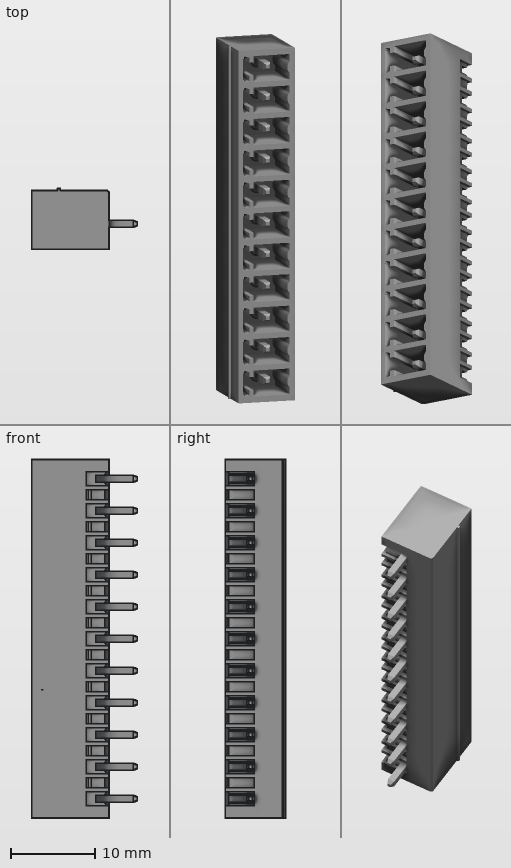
import cadquery as cq
import math

body_length = 9.23
body_depth = 7.0
body_height = 42.7
rear_chamfer = 0.2

pole_count = 11
pole_span = 38.1
pole_pitch = pole_span / (pole_count - 1)
pole_y = 3.05

ridge_x = 3.25
ridge_height = 0.25
ridge_base = 0.4
ridge_crest = 0.3

socket_floor_x = 5.55
socket_y_min = 0.75
socket_y_max = 6.25
socket_half_height = 1.45
lobe_drop = 0.15
key_y_min = 5.1
key_y_max = 5.7
key_half_gap = 0.8
bulge_half_height = 0.75
bulge_rise = 0.3
socket_draft = 1.3
lead_length = 0.45
lead_width = 0.1

collar_diameter = 1.8
collar_tip_diameter = 1.3
collar_height = 0.43

pin_width = 0.85
pin_start_x = 1.05
pin_end_x = 12.6
pin_tip_length = 0.5
pin_tip_width = 0.43

opening_x = 6.5
opening_floor = 0.43
recess_depth = pole_y + pin_width / 2
pin_opening_height = 1.7
pin_slot_x = 7.65
pin_recess_x = 8.85
slot_mouth_chamfer = 0.15
window_height = 1.2
window_recess_x = 8.7
window_shelf = 0.05
window_slope_start_x = 6.75
window_slope_end_x = 7.15

pole_levels = [i * pole_pitch - pole_span / 2 for i in range(pole_count)]
window_levels = [z + pole_pitch / 2 for z in pole_levels[:-1]]


def prism(points, height):
    """Extrude an XY outline to the given height, centred on Z = 0."""
    return cq.Workplane("XY").polyline(points).close().extrude(height / 2, both=True)


def copy_to_levels(shape, levels):
    """Copies of a shape made at Z = 0, one per level."""
    return cq.Workplane("XY").pushPoints([(0, 0, z) for z in levels]).eachpoint(shape.val())


def make_housing():
    block = cq.Workplane("XY").box(body_length, body_depth, body_height, centered=(False, False, True))
    block = block.edges("|Z and >X and >Y").chamfer(rear_chamfer)
    crest_y = body_depth + ridge_height
    ridge = prism(
        [
            (ridge_x - ridge_base / 2, body_depth),
            (ridge_x - ridge_crest / 2, crest_y),
            (ridge_x + ridge_crest / 2, crest_y),
            (ridge_x + ridge_base / 2, body_depth),
        ],
        body_height,
    )
    return block.union(ridge)


def make_key_rib():
    """Key rib on the upper socket wall, narrowed on its -Y side at the mouth."""
    outline = [
        (0, key_y_min + lead_width),
        (lead_length, key_y_min),
        (socket_floor_x, key_y_min),
        (socket_floor_x, key_y_max),
        (0, key_y_max),
    ]
    rib_height = pole_pitch / 2 - key_half_gap
    return prism(outline, rib_height).translate((0, 0, key_half_gap + rib_height / 2))


def make_socket():
    """Drafted socket with a bulged -Y wall; two key ribs and the pin collar are left standing."""
    socket_widening = socket_floor_x * math.tan(math.radians(socket_draft))
    lobe_half = socket_half_height - lobe_drop
    cavity = (
        cq.Workplane("YZ", origin=(socket_floor_x, 0, 0))
        .moveTo(socket_y_min, -socket_half_height)
        .lineTo(key_y_min, -socket_half_height)
        .lineTo(key_y_max, -lobe_half)
        .lineTo(socket_y_max, -socket_half_height)
        .lineTo(socket_y_max, socket_half_height)
        .lineTo(key_y_max, lobe_half)
        .lineTo(key_y_min, socket_half_height)
        .lineTo(socket_y_min, socket_half_height)
        .lineTo(socket_y_min, bulge_half_height)
        .threePointArc((socket_y_min + bulge_rise, 0), (socket_y_min, -bulge_half_height))
        .close()
        .extrude(-socket_floor_x, taper=-socket_draft)
    )
    collar = (
        cq.Workplane("YZ", origin=(socket_floor_x, pole_y, 0))
        .circle(collar_diameter / 2)
        .workplane(offset=-collar_height)
        .circle(collar_tip_diameter / 2)
        .loft()
    )
    upper_rib = make_key_rib()
    lobe_lead_in = prism(
        [
            (0, key_y_max),
            (0, socket_y_max + socket_widening + lead_width),
            (lead_length, socket_y_max + socket_widening),
            (lead_length, key_y_max),
        ],
        2 * lobe_half,
    )
    return cavity.union(lobe_lead_in).cut(upper_rib).cut(upper_rib.mirror("XY")).cut(collar)


def make_pin_opening():
    """Opening beside a pin: shallow floor, deep recess and a slot for the pin."""
    opening = prism(
        [
            (opening_x, 0),
            (opening_x, opening_floor),
            (pin_recess_x, opening_floor),
            (pin_recess_x, recess_depth),
            (body_length, recess_depth),
            (body_length, 0),
        ],
        pin_opening_height,
    )
    slot_half = pin_width / 2
    mouth_half = slot_half + slot_mouth_chamfer
    slot = (
        cq.Workplane("XZ")
        .moveTo(pin_slot_x, -slot_half)
        .lineTo(pin_recess_x - slot_mouth_chamfer, -slot_half)
        .lineTo(pin_recess_x, -mouth_half)
        .lineTo(pin_recess_x, mouth_half)
        .lineTo(pin_recess_x - slot_mouth_chamfer, slot_half)
        .lineTo(pin_slot_x, slot_half)
        .close()
        .extrude(-recess_depth)
    )
    return opening.union(slot)


def make_window():
    """Opening between two pins: shelf, slope, shallow floor and deep recess."""
    return prism(
        [
            (opening_x, 0),
            (opening_x, window_shelf),
            (window_slope_start_x, window_shelf),
            (window_slope_end_x, opening_floor),
            (window_recess_x, opening_floor),
            (window_recess_x, recess_depth),
            (body_length, recess_depth),
            (body_length, 0),
        ],
        window_height,
    )


def make_pin():
    """Square pin along X, tapered at both ends."""
    shank_start = pin_start_x + pin_tip_length
    shank_end = pin_end_x - pin_tip_length
    shank = cq.Workplane("YZ", origin=(shank_start, pole_y, 0)).rect(pin_width, pin_width)
    pin = shank.extrude(shank_end - shank_start)
    for shoulder_x, direction in ((shank_start, -1), (shank_end, 1)):
        tip = (
            cq.Workplane("YZ", origin=(shoulder_x, pole_y, 0))
            .rect(pin_width, pin_width)
            .workplane(offset=direction * pin_tip_length)
            .rect(pin_tip_width, pin_tip_width)
            .loft()
        )
        pin = pin.union(tip)
    return pin


result = (
    make_housing()
    .cut(copy_to_levels(make_socket(), pole_levels))
    .cut(copy_to_levels(make_pin_opening(), pole_levels))
    .cut(copy_to_levels(make_window(), window_levels))
    .union(copy_to_levels(make_pin(), pole_levels))
)